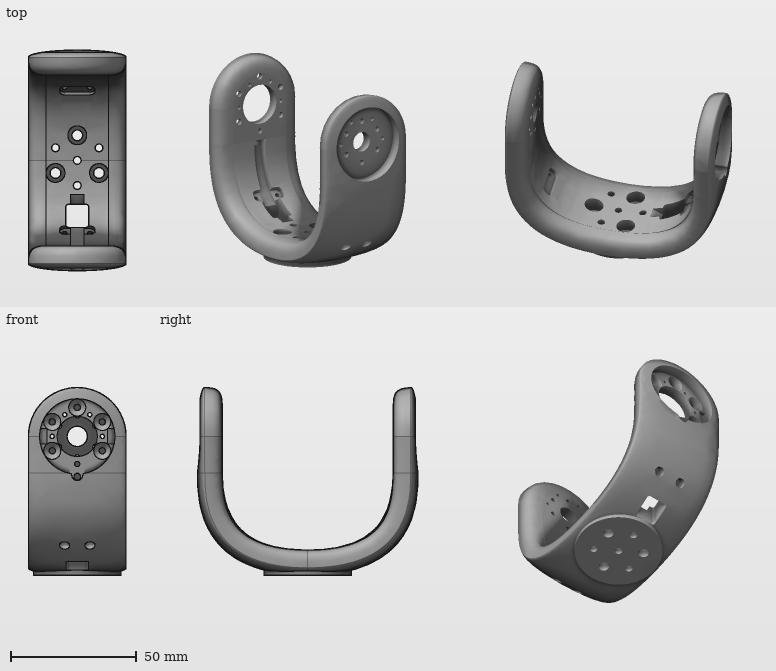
import cadquery as cq
import math

half_width = 19.5
edge_y = 41.0
inner_round = 7.0
crown_height = 2.97
inner_y = edge_y - inner_round
inner_round_pull = 5.3
inner_half_width = half_width - inner_round

bend_top_z = -14.6
edge_bottom_z = -52.3
edge_arm_pull = 12.1
edge_bottom_pull = 40.0
floor_bottom_z = -45.22
floor_arm_pull = 23.0
floor_bottom_pull = 21.2
liner_thickness = 3.0

base_radius = 17.5
base_z = -55.33
base_top_z = -50.0

recess_radius = 15.0
recess_floor_y = 38.5
bore_radius = 8.0
axle_radius = 4.0
cone_circle_radius = 11.5
cone_hole_diameter = 2.5
cone_top_diameter = 6.8
cone_angle = 90.0
pin_circle_radius = 10.0
pin_diameter = 1.6
horn_circle_radius = 8.5
horn_hole_diameter = 2.2
lock_hole_z = -11.0
lock_hole_diameter = 2.1
ear_inner_x = 12.0
ear_height = 6.1
ear_depth = 1.5

relief_radius = 2.2
relief_z = -15.35
relief_blend = 0.6
cable_hole_diameter = 2.7
cable_hole_z = -16.1
channel_width = 5.3
channel_depth = 3.2
channel_ramp_start_y = -13.6
channel_ramp_top_z = -44.2
channel_ramp_drop = 2.0
window_near_y = -17.52
window_size = 9.1
window_corner = 1.0

base_circle_radius = 10.0
base_screw_diameter = 4.2
base_head_diameter = 7.5
base_head_floor_z = -50.5
base_pin_diameter = 3.0
base_drill_length = 20.0

seat_y = 29.0
seat_z = -37.0
seat_tilt = 42.0
seat_width = 14.0
seat_length = 5.0
seat_corner = 2.0
seat_clearance = 6.0
seat_hole_x = 5.06
seat_hole_diameter = 2.0
seat_head_diameter = 4.0
seat_web = 3.0
seat_drill_length = 25.0

reach = 60.0


def both_arms(half):
    """A +Y half together with its mirror image at -Y."""
    return half.union(half.mirror("XZ"))


def bend(workplane, arm_y, bottom_z, arm_pull, bottom_pull):
    """Add the bend curve, from the current point at the top of the bend to the bottom centre."""
    return workplane.bezier(
        [
            (arm_y, bend_top_z),
            (arm_y, bend_top_z - arm_pull),
            (bottom_pull, bottom_z),
            (0, bottom_z),
        ]
    )


def edge_round(side):
    """Curve points of the inner round on the given X side (+1 or -1), from flat inside to edge."""
    return [
        (side * inner_half_width, inner_y),
        (side * (inner_half_width + inner_round_pull), inner_y),
        (side * half_width, edge_y - inner_round_pull),
        (side * half_width, edge_y),
    ]


def half_section():
    """Closed X > 0 half of the band section: flat inside, round edge, elliptical crown."""
    return (
        cq.Workplane("XY")
        .moveTo(0, inner_y)
        .lineTo(inner_half_width, inner_y)
        .bezier(edge_round(1))
        .ellipseArc(half_width, crown_height, 0, 90, startAtCurrent=True)
        .close()
    )


def full_section(height):
    """Closed band section across the whole width, in the level plane at the given Z."""
    return (
        cq.Workplane("XY", origin=(0, 0, height))
        .moveTo(-inner_half_width, inner_y)
        .lineTo(inner_half_width, inner_y)
        .bezier(edge_round(1))
        .ellipseArc(half_width, crown_height, 0, 180, startAtCurrent=True)
        .bezier(edge_round(-1)[::-1])
        .close()
    )


def arm_with_bend():
    """+Y half of the band: round head, straight shank and bend down to the bottom centre."""
    head = half_section().revolve(180, (0, 0, 0), (0, -1, 0))
    shank = full_section(0).extrude(bend_top_z)
    path = bend(cq.Workplane("YZ"), edge_y, edge_bottom_z, edge_arm_pull, edge_bottom_pull)
    swept = full_section(bend_top_z).sweep(path)
    return head.union(shank).union(swept)


def floor_strip(width, depth):
    """Strip lying along the inner floor of the +Y bend and reaching `depth` into the wall."""
    back_y = inner_y + depth
    strip = cq.Workplane("YZ", origin=(-width / 2, 0, 0)).moveTo(inner_y, bend_top_z)
    strip = bend(strip, inner_y, floor_bottom_z, floor_arm_pull, floor_bottom_pull)
    strip = strip.lineTo(0, floor_bottom_z - depth)
    strip = strip.bezier(
        [
            (0, floor_bottom_z - depth),
            (floor_bottom_pull, floor_bottom_z - depth),
            (back_y, bend_top_z - floor_arm_pull),
            (back_y, bend_top_z),
        ]
    )
    return strip.close().extrude(width)


def yoke_body():
    """Both halves of the band with their floor liner, standing on the base disc."""
    half = arm_with_bend().union(floor_strip(2 * inner_half_width, liner_thickness))
    disc = (
        cq.Workplane("XY", origin=(0, 0, base_z)).circle(base_radius).extrude(base_top_z - base_z)
    )
    return both_arms(half).union(disc)


def ring(radius, angles):
    """Points on a circle about the origin at the given angles in degrees."""
    return [
        (radius * math.cos(math.radians(a)), radius * math.sin(math.radians(a))) for a in angles
    ]


def along_y(start_y, end_y, diameter, points):
    """Round cutters along Y at the given (x, z) points."""
    plane = cq.Workplane("XZ", origin=(0, start_y, 0))
    return plane.pushPoints(points).circle(diameter / 2).extrude(start_y - end_y)


pin_points = ring(pin_circle_radius, range(0, 181, 60))


def cut_driven_hub(body):
    """+Y arm: round recess outside, axle hole, six horn screws and four pins."""
    horn_points = ring(horn_circle_radius, range(30, 360, 60))
    body = body.cut(along_y(recess_floor_y, reach, 2 * recess_radius, [(0, 0)]))
    body = body.cut(along_y(0, reach, 2 * axle_radius, [(0, 0)]))
    body = body.cut(along_y(0, reach, horn_hole_diameter, horn_points))
    return body.cut(along_y(0, reach, pin_diameter, pin_points))


def cut_motor_hub(body):
    """-Y arm: round recess with ears, bore, countersunk screws, pins and the cable relief."""
    floor_y = -recess_floor_y
    recess = along_y(floor_y, -reach, 2 * recess_radius, [(0, 0)])
    recess = recess.union(along_y(floor_y, -reach, 2 * relief_radius, [(0, relief_z)]))
    crossing_z = (recess_radius**2 - relief_radius**2 + relief_z**2) / (2 * relief_z)
    crossing_x = math.sqrt(recess_radius**2 - crossing_z**2)
    crossing_y = (floor_y - reach) / 2
    corners = cq.selectors.NearestToPointSelector((crossing_x, crossing_y, crossing_z))
    corners += cq.selectors.NearestToPointSelector((-crossing_x, crossing_y, crossing_z))
    recess = recess.edges(corners).fillet(relief_blend)
    body = body.cut(recess)
    body = body.cut(along_y(0, -reach, 2 * bore_radius, [(0, 0)]))
    body = body.cut(along_y(0, -reach, pin_diameter, pin_points))
    body = body.cut(along_y(0, -reach, lock_hole_diameter, [(0, lock_hole_z)]))
    body = body.cut(along_y(0, -reach, cable_hole_diameter, [(0, cable_hole_z)]))

    cone_points = ring(cone_circle_radius, range(-30, 211, 60))
    body = body.cut(along_y(0, -reach, cone_hole_diameter, cone_points))
    cone_depth = (cone_top_diameter - cone_hole_diameter) / 2 / math.tan(math.radians(cone_angle / 2))
    for x, z in cone_points:
        cone = cq.Solid.makeCone(
            cone_top_diameter / 2,
            cone_hole_diameter / 2,
            cone_depth,
            pnt=cq.Vector(x, floor_y, z),
            dir=cq.Vector(0, 1, 0),
        )
        body = body.cut(cq.Workplane(cone))

    ears = (
        cq.Workplane("XY")
        .box(2 * recess_radius, ear_depth, ear_height)
        .cut(cq.Workplane("XY").box(2 * ear_inner_x, reach, reach))
        .translate((0, floor_y + ear_depth / 2, 0))
    )
    recess_column = along_y(0, -reach, 2 * recess_radius, [(0, 0)])
    return body.cut(ears.intersect(recess_column))


def cut_cable_path(body):
    """Square window through the -Y side of the floor and the channel from it up the arm."""
    window_y = window_near_y - window_size / 2
    window = (
        cq.Workplane("XY", origin=(0, window_y, base_z))
        .rect(window_size, window_size)
        .extrude(reach)
        .edges("|Z")
        .fillet(window_corner)
    )
    arm_side = cq.Workplane("XY").box(reach, reach, 2 * reach).translate((0, window_y - reach / 2, 0))
    channel = floor_strip(channel_width, channel_depth).mirror("XZ").intersect(arm_side)
    ramp = (
        cq.Workplane("YZ", origin=(-channel_width / 2, 0, 0))
        .moveTo(channel_ramp_start_y, floor_bottom_z + channel_depth)
        .lineTo(channel_ramp_start_y, channel_ramp_top_z)
        .lineTo(window_near_y, channel_ramp_top_z - channel_ramp_drop)
        .lineTo(window_near_y, floor_bottom_z + channel_depth)
        .close()
        .extrude(channel_width)
    )
    return body.cut(window).cut(channel).cut(ramp)


def cut_base_screws(body):
    """Three counterbored screws and four pins through the floor and the base disc."""

    def drill(diameter, floor_z, points):
        plane = cq.Workplane("XY", origin=(0, 0, floor_z))
        return plane.pushPoints(points).circle(diameter / 2).extrude(base_drill_length)

    screw_points = ring(base_circle_radius, (90, 210, 330))
    base_pin_points = [(0, 0)] + ring(base_circle_radius, (30, 150, 270))
    body = body.cut(drill(base_screw_diameter, base_z, screw_points))
    body = body.cut(drill(base_head_diameter, base_head_floor_z, screw_points))
    return body.cut(drill(base_pin_diameter, base_z, base_pin_points))


def seat_cutter():
    """Flat seat with two screw holes, made level at the origin and tilted into the +Y bend."""
    seat = (
        cq.Workplane("XY")
        .rect(seat_width, seat_length)
        .extrude(seat_clearance)
        .edges("|Z")
        .fillet(seat_corner)
    )
    hole_points = [(-seat_hole_x, 0), (seat_hole_x, 0)]
    holes = (
        cq.Workplane("XY")
        .pushPoints(hole_points)
        .circle(seat_hole_diameter / 2)
        .extrude(-seat_drill_length)
    )
    heads = (
        cq.Workplane("XY", origin=(0, 0, -seat_web))
        .pushPoints(hole_points)
        .circle(seat_head_diameter / 2)
        .extrude(-seat_drill_length)
    )
    cutter = seat.union(holes).union(heads)
    return cutter.rotate((0, 0, 0), (1, 0, 0), seat_tilt).translate((0, seat_y, seat_z))


body = yoke_body()
body = cut_driven_hub(body)
body = cut_motor_hub(body)
body = cut_cable_path(body)
body = cut_base_screws(body)
result = body.cut(both_arms(seat_cutter()))